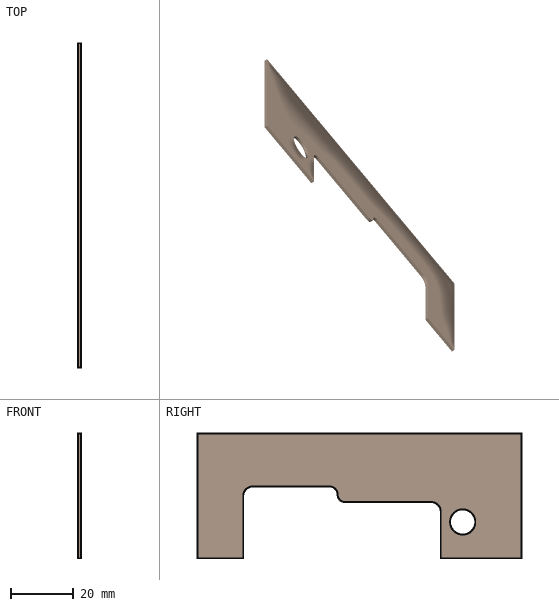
import cadquery as cq

length = 104.0
height = 40.0
thickness = 1.0

notch_start = 26.0
notch_step = 59.1
notch_end = length - 14.8
low_depth = 18.0
high_depth = 23.0
corner_radius = 3.0
step_radius = (high_depth - low_depth) / 2

hole_diameter = 8.0
hole_station = 18.9
hole_height = 11.6


def y_at(station):
    """Y position at a distance from the +Y end of the plate, centred on Y."""
    return length / 2 - station


def make_plate():
    return cq.Workplane("XY").box(thickness, length, height, centered=(True, True, False))


def make_notch():
    profile = (
        cq.Workplane("YZ", origin=(-thickness / 2, 0, 0))
        .moveTo(y_at(notch_start), 0)
        .lineTo(y_at(notch_start), low_depth - corner_radius)
        .radiusArc((y_at(notch_start + corner_radius), low_depth), -corner_radius)
        .lineTo(y_at(notch_step - step_radius), low_depth)
        .radiusArc((y_at(notch_step), low_depth + step_radius), step_radius)
        .radiusArc((y_at(notch_step + step_radius), high_depth), -step_radius)
        .lineTo(y_at(notch_end - corner_radius), high_depth)
        .radiusArc((y_at(notch_end), high_depth - corner_radius), -corner_radius)
        .lineTo(y_at(notch_end), 0)
        .close()
    )
    return profile.extrude(thickness)


def make_hole():
    return (
        cq.Workplane("YZ", origin=(-thickness / 2, 0, 0))
        .center(y_at(hole_station), hole_height)
        .circle(hole_diameter / 2)
        .extrude(thickness)
    )


result = make_plate().cut(make_notch()).cut(make_hole())